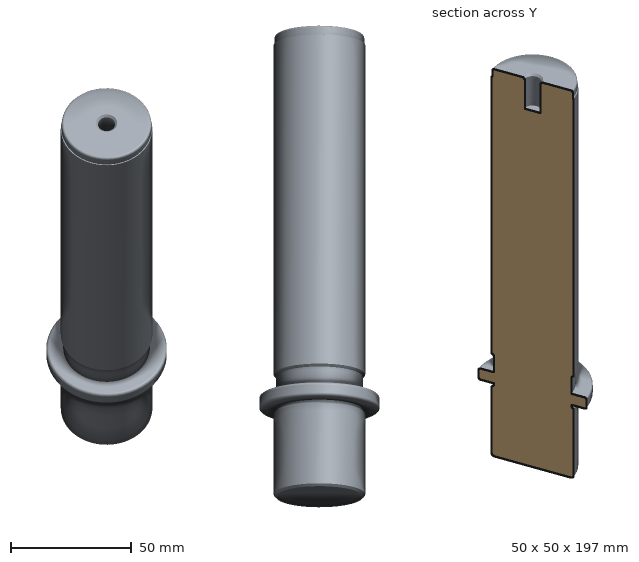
import cadquery as cq

total_length = 197.0
shaft_radius = 38.0 / 2
neck_radius = 36.0 / 2
shaft_chamfer = shaft_radius - neck_radius

collar_radius = 50.0 / 2
collar_bottom = 37.0
collar_thickness = 6.0
collar_top = collar_bottom + collar_thickness
collar_edge_radius = 1.2

lower_neck_length = 0.8
upper_neck_length = 8.3
lower_shaft_top = collar_bottom - lower_neck_length
upper_shaft_bottom = collar_top + upper_neck_length

lead_radius = 37.2 / 2
lead_length = 4.0
lead_bottom = total_length - lead_length
lead_edge_radius = 1.0

hole_diameter = 7.0
hole_depth = 15.8
countersink_diameter = 8.9
countersink_angle = 90


def cylinder(radius, bottom, top):
    """Solid cylinder on the Z axis between two heights."""
    return cq.Workplane("XY").workplane(offset=bottom).circle(radius).extrude(top - bottom)


lower_shaft = cylinder(shaft_radius, 0, lower_shaft_top).edges().chamfer(shaft_chamfer)
neck = cylinder(neck_radius, lower_shaft_top, upper_shaft_bottom)
collar = cylinder(collar_radius, collar_bottom, collar_top).edges().fillet(collar_edge_radius)
upper_shaft = cylinder(shaft_radius, upper_shaft_bottom, lead_bottom).edges("<Z").chamfer(shaft_chamfer)
lead_in = cylinder(lead_radius, lead_bottom, total_length).edges(">Z").fillet(lead_edge_radius)

post = lower_shaft.union(neck).union(collar).union(upper_shaft).union(lead_in)

result = (
    post.faces(">Z")
    .workplane()
    .cskHole(hole_diameter, countersink_diameter, countersink_angle, depth=hole_depth)
)